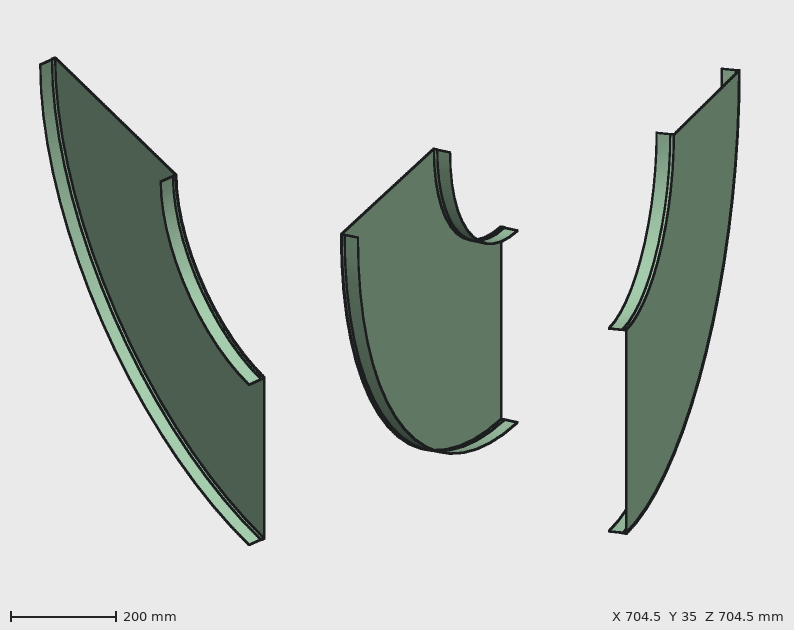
import cadquery as cq

OUTER_RADIUS = 704.5
INNER_RADIUS = 296.0
DEPTH = 35.0
SHEET = 1.0
LIP_HEIGHT = 8.0

RAIL_FRONT = 0.0
PLATE_BACK = DEPTH
PLATE_FRONT = PLATE_BACK - SHEET
LIP_FRONT = PLATE_BACK - LIP_HEIGHT


def quarter_ring(inner, outer, front, back):
    """Quarter ring about the Y axis, in the -X, -Z quadrant, from Y = front to Y = back."""
    return (
        cq.Workplane("XZ", origin=(0, back, 0))
        .moveTo(-outer, 0)
        .radiusArc((0, -outer), -outer)
        .lineTo(0, -inner)
        .radiusArc((-inner, 0), inner)
        .close()
        .extrude(back - front)
    )


def make_plate():
    """Bend plate with a low lip turned forward along each curved edge."""
    sheet = quarter_ring(INNER_RADIUS, OUTER_RADIUS, PLATE_FRONT, PLATE_BACK)
    outer_lip = quarter_ring(OUTER_RADIUS - SHEET, OUTER_RADIUS, LIP_FRONT, PLATE_FRONT)
    inner_lip = quarter_ring(INNER_RADIUS, INNER_RADIUS + SHEET, LIP_FRONT, PLATE_FRONT)
    return sheet.union(outer_lip).union(inner_lip)


def make_rail(inner):
    """Curved side rail that stands on the plate, between its lips."""
    return quarter_ring(inner, inner + SHEET, RAIL_FRONT, PLATE_FRONT)


plate = make_plate()

rail_inner_radii = [OUTER_RADIUS - 2 * SHEET, INNER_RADIUS + SHEET]
rails = [make_rail(radius) for radius in rail_inner_radii]

result = cq.Compound.makeCompound([plate.val(), *[rail.val() for rail in rails]])